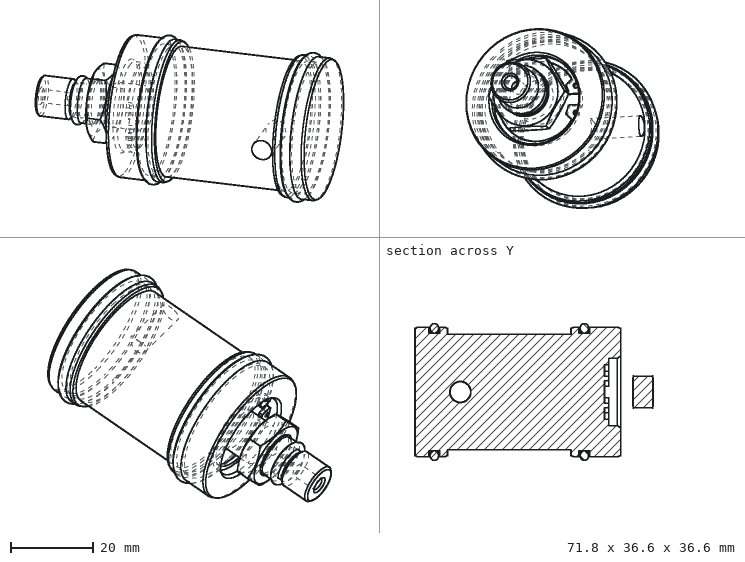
import cadquery as cq
import math


total_length = 71.8
seal_outer_diameter = 36.6

tip_diameter = 10.0
tip_chamfer = 0.5
tip_length = 7.7
neck_diameter = 8.4
neck_taper = (tip_diameter - neck_diameter) / 2
tip_bore_diameter = 3.2
tip_bore_mouth = 4.3
tip_bore_depth = 7.2

rod_diameter = 11.0
neck_end = 10.9
undercut_start = 13.6
undercut_diameter = 10.8
undercut_depth = (rod_diameter - undercut_diameter) / 2
rod_seal_section = 1.8

nut_sides = 6
nut_front = 13.85
nut_thickness = 4.95
nut_across_flats = 16.8
nut_face_diameter = 16.4
nut_chamfer_angle = 30.0
nut_mouth_diameter = 11.8
nut_mouth_depth = (nut_mouth_diameter - undercut_diameter) / 2

housing_front = 21.7
flange_diameter = 35.0
flange_chamfer_length = 0.65
flange_chamfer_height = 0.3
front_flange_end = 33.9
rear_flange_start = 63.85
barrel_diameter = 32.0

groove_diameter = 32.3
groove_width = 2.5
housing_seal_section = (seal_outer_diameter - groove_diameter) / 2
housing_seal_centers = [30.6, 67.1]

recess_diameter = 22.05
recess_chamfer_length = 0.85
recess_chamfer_height = 0.5
recess_depth = 3.95
recess_floor = housing_front + recess_depth

clip_thickness = 1.0
clip_inner_diameter = 19.9
lug_inner_diameter = 15.8
lug_corner_angle = 30.5
lug_side_angle = 45.0
clip_gap = 2.8
lug_end_fillet = 0.4
lug_hole_diameter = 1.2
lug_hole_y = -9.6
lug_hole_z = 3.4

port_diameter = 5.0
port_x = 60.75
port_core_diameter = 8.0


def axial_cylinder(start, end, diameter):
    """Solid cylinder on the X axis."""
    return cq.Workplane("YZ", origin=(start, 0, 0)).circle(diameter / 2).extrude(end - start)


def make_rod():
    """Rod from its bored tip, past the seal neck and the nut, to the recess floor."""
    tip_radius = tip_diameter / 2
    neck_radius = neck_diameter / 2
    rod_radius = rod_diameter / 2
    undercut_radius = undercut_diameter / 2
    undercut_end = nut_front + nut_mouth_depth
    mouth_radius = tip_bore_mouth / 2
    bore_radius = tip_bore_diameter / 2
    return (
        cq.Workplane("XY")
        .moveTo(tip_bore_depth, 0)
        .lineTo(tip_bore_depth, bore_radius)
        .lineTo(mouth_radius - bore_radius, bore_radius)
        .lineTo(0, mouth_radius)
        .lineTo(0, tip_radius - tip_chamfer)
        .lineTo(tip_chamfer, tip_radius)
        .lineTo(tip_length, tip_radius)
        .lineTo(tip_length + neck_taper, neck_radius)
        .lineTo(neck_end, neck_radius)
        .lineTo(neck_end, rod_radius)
        .lineTo(undercut_start, rod_radius)
        .lineTo(undercut_start + undercut_depth, undercut_radius)
        .lineTo(undercut_end, undercut_radius)
        .lineTo(undercut_end, rod_radius)
        .lineTo(recess_floor, rod_radius)
        .lineTo(recess_floor, 0)
        .close()
        .revolve(360, (0, 0, 0), (1, 0, 0))
    )


def make_nut():
    """Hexagon with two flats facing up and down, chamfered to a cone on both faces."""
    corner_diameter = nut_across_flats / math.cos(math.pi / nut_sides)
    hexagon = (
        cq.Workplane("YZ", origin=(nut_front, 0, 0))
        .polygon(nut_sides, corner_diameter)
        .extrude(nut_thickness)
    )
    chamfer_height = (corner_diameter - nut_face_diameter) / 2
    chamfer_depth = chamfer_height * math.tan(math.radians(nut_chamfer_angle))
    nut_rear = nut_front + nut_thickness
    envelope = (
        cq.Workplane("XY")
        .moveTo(nut_front + nut_mouth_depth, 0)
        .lineTo(nut_front + nut_mouth_depth, undercut_diameter / 2)
        .lineTo(nut_front, nut_mouth_diameter / 2)
        .lineTo(nut_front, nut_face_diameter / 2)
        .lineTo(nut_front + chamfer_depth, corner_diameter / 2)
        .lineTo(nut_rear - chamfer_depth, corner_diameter / 2)
        .lineTo(nut_rear, nut_face_diameter / 2)
        .lineTo(nut_rear, 0)
        .close()
        .revolve(360, (0, 0, 0), (1, 0, 0))
    )
    return hexagon.intersect(envelope)


def make_flange(start, end, seal_center):
    """Chamfered flange with a seal groove."""
    radius = flange_diameter / 2
    edge_radius = radius - flange_chamfer_height
    flange = (
        cq.Workplane("XY")
        .moveTo(start, 0)
        .lineTo(start, edge_radius)
        .lineTo(start + flange_chamfer_length, radius)
        .lineTo(end - flange_chamfer_length, radius)
        .lineTo(end, edge_radius)
        .lineTo(end, 0)
        .close()
        .revolve(360, (0, 0, 0), (1, 0, 0))
    )
    groove_start = seal_center - groove_width / 2
    groove = (
        cq.Workplane("YZ", origin=(groove_start, 0, 0))
        .circle(flange_diameter / 2)
        .circle(groove_diameter / 2)
        .extrude(groove_width)
    )
    return flange.cut(groove)


def make_housing():
    """Barrel between two flanges, with a chamfered recess in the front face."""
    front_seal, rear_seal = housing_seal_centers
    housing = (
        axial_cylinder(front_flange_end, rear_flange_start, barrel_diameter)
        .union(make_flange(housing_front, front_flange_end, front_seal))
        .union(make_flange(rear_flange_start, total_length, rear_seal))
    )
    recess_radius = recess_diameter / 2
    recess = (
        cq.Workplane("XY")
        .moveTo(housing_front, 0)
        .lineTo(housing_front, recess_radius + recess_chamfer_height)
        .lineTo(housing_front + recess_chamfer_length, recess_radius)
        .lineTo(recess_floor, recess_radius)
        .lineTo(recess_floor, 0)
        .close()
        .revolve(360, (0, 0, 0), (1, 0, 0))
    )
    return housing.cut(recess)


def make_clip():
    """Retaining ring with two drilled lugs beside its gap."""
    clip_front = recess_floor - clip_thickness
    plane = cq.Workplane("YZ", origin=(clip_front, 0, 0))
    outer_radius = recess_diameter / 2
    ring = plane.circle(outer_radius).circle(clip_inner_diameter / 2).extrude(clip_thickness)

    corner_angle = math.radians(lug_corner_angle)
    corner_y = -clip_inner_diameter / 2 * math.cos(corner_angle)
    corner_z = clip_inner_diameter / 2 * math.sin(corner_angle)
    side_slope = math.tan(math.radians(lug_side_angle))
    wedge_tip_y = corner_y + corner_z / side_slope
    wedge_end_z = (outer_radius + wedge_tip_y) * side_slope
    wedge = (
        plane.moveTo(wedge_tip_y, 0)
        .lineTo(-outer_radius, wedge_end_z)
        .lineTo(-outer_radius, -wedge_end_z)
        .close()
        .extrude(clip_thickness)
    )
    lug_band = plane.circle(outer_radius).circle(lug_inner_diameter / 2).extrude(clip_thickness)
    gap = plane.center(-outer_radius / 2, 0).rect(outer_radius, clip_gap).extrude(clip_thickness)
    holes = (
        plane.pushPoints([(lug_hole_y, lug_hole_z), (lug_hole_y, -lug_hole_z)])
        .circle(lug_hole_diameter / 2)
        .extrude(clip_thickness)
    )
    clip = ring.union(lug_band.intersect(wedge)).cut(gap)

    corner_box = cq.selectors.BoxSelector(
        (clip_front, -outer_radius - lug_end_fillet, -clip_gap),
        (clip_front + clip_thickness, -outer_radius + lug_end_fillet, clip_gap),
    )
    return clip.edges("|X").edges(corner_box).fillet(lug_end_fillet).cut(holes)


def make_port():
    """Radial hole from the -Y side of the barrel, ending on a round core around the axis."""
    drill = (
        cq.Workplane("XZ", origin=(port_x, 0, 0))
        .circle(port_diameter / 2)
        .extrude(barrel_diameter / 2)
    )
    return drill.cut(axial_cylinder(housing_front, total_length, port_core_diameter))


def make_seal(center_x, outer_diameter, section):
    """Ring of round section around the X axis."""
    ring_radius = (outer_diameter - section) / 2
    return (
        cq.Workplane("XY")
        .center(center_x, ring_radius)
        .circle(section / 2)
        .revolve(360, (0, -ring_radius, 0), (1, -ring_radius, 0))
    )


cylinder = make_housing().union(make_rod()).union(make_nut()).union(make_clip()).cut(make_port())

housing_seals = [make_seal(x, seal_outer_diameter, housing_seal_section) for x in housing_seal_centers]

rod_seal = make_seal(
    neck_end - rod_seal_section / 2,
    neck_diameter + 2 * rod_seal_section,
    rod_seal_section,
)

result = cq.Compound.makeCompound(
    [cylinder.val(), *[seal.val() for seal in housing_seals], rod_seal.val()]
)